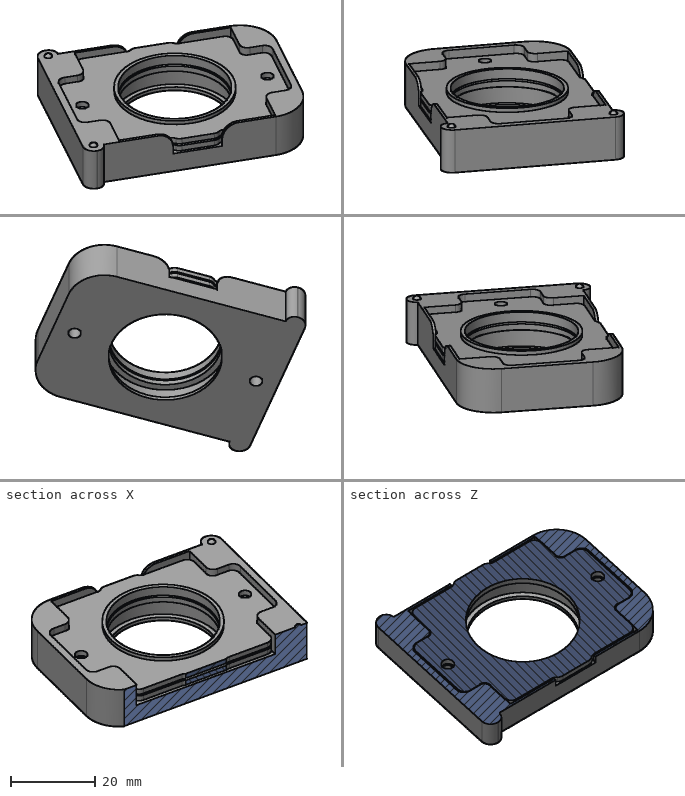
import cadquery as cq
import math

LENGTH = 56.45
BODY_WIDTH = 40.2
OVERALL_WIDTH = 44.6
KNUCKLE_LENGTH = 5.0
KNUCKLE_FRONT_DIAMETER = 5.5
REAR_CORNER_RADIUS = 9.0
FRONT_HEIGHT = 10.8
REAR_HEIGHT = 11.0

DOME_RADIUS = 0.95
DOME_X = 19.75
DOME_FRONT_INSET = 2.6
DOME_TOP = 11.45

FLOOR_Z = 5.0
PLATE_GAP = 0.5
PLATE_THICKNESS = 1.45
LOWER_PLATE_Z = FLOOR_Z + PLATE_GAP
UPPER_PLATE_Z = LOWER_PLATE_Z + PLATE_THICKNESS + PLATE_GAP
RING_HEIGHT = 1.0

POCKET_HALF_WIDTH = 19.35
SHOULDER_Y = 19.25
TAB_HALF_WIDTH = 9.95
POCKET_TAB_Y = 26.35
PLATE_CLEARANCE = 0.2
PLATE_HALF_WIDTH = POCKET_HALF_WIDTH - PLATE_CLEARANCE
PLATE_TAB_Y = POCKET_TAB_Y - PLATE_CLEARANCE
POCKET_FILLET = 2.0
PLATE_FILLET = POCKET_FILLET
PLATE_INNER_FILLET = 1.65
EAR_MID_Y = 5.3
EAR_FILLET = POCKET_FILLET

NOTCH_HALF_WIDTH = 6.05
NOTCH_ARC_Z = LOWER_PLATE_Z + PLATE_THICKNESS

APERTURE_DIAMETER = 26.9
RING_DIAMETER = 28.9
WELL_DIAMETER = 29.4
LEDGE_THICKNESS = 1.0
BOLT_DIAMETER = 3.0
BOLT_Y = 22.8

MARGIN = 0.05

HALF_LENGTH = LENGTH / 2
HALF_BODY_WIDTH = BODY_WIDTH / 2
KNUCKLE_FRONT_RADIUS = KNUCKLE_FRONT_DIAMETER / 2
KNUCKLE_REAR_RADIUS = OVERALL_WIDTH / 2 - HALF_BODY_WIDTH
BOLT_POINTS = [(0, BOLT_Y), (0, -BOLT_Y)]


def cylinder(diameter, bottom, height):
    """Upright cylinder on the aperture axis."""
    return cq.Workplane("XY").workplane(offset=bottom).circle(diameter / 2).extrude(height)


def bolt_cutters():
    """Two upright cylinders that clear every body at the bolt positions."""
    return cq.Workplane("XY").pushPoints(BOLT_POINTS).circle(BOLT_DIAMETER / 2).extrude(REAR_HEIGHT)


def cross_prism(half_width, tab_y, outer_fillet, inner_fillet, bottom, height):
    """Rectangle with a tab at each Y end; the tab's outer and inner corners are rounded."""
    shoulders = (
        cq.Workplane("XY").workplane(offset=bottom)
        .rect(2 * half_width, 2 * SHOULDER_Y).extrude(height)
    )
    tabs = (
        cq.Workplane("XY").workplane(offset=bottom)
        .rect(2 * TAB_HALF_WIDTH, 2 * tab_y).extrude(height)
        .edges("|Z").fillet(outer_fillet)
    )
    inner_corners = cq.selectors.BoxSelector(
        (-TAB_HALF_WIDTH - MARGIN, -SHOULDER_Y - MARGIN, bottom - MARGIN),
        (TAB_HALF_WIDTH + MARGIN, SHOULDER_Y + MARGIN, bottom + height + MARGIN),
    )
    return shoulders.union(tabs).edges("|Z").edges(inner_corners).fillet(inner_fillet)


def notch_cutter():
    """Opening through both side walls: straight at the bottom, flaring to the top in two arcs."""
    front_radius = FRONT_HEIGHT - NOTCH_ARC_Z
    rear_radius = REAR_HEIGHT - NOTCH_ARC_Z
    front_centre_y = -NOTCH_HALF_WIDTH - front_radius
    rear_centre_y = NOTCH_HALF_WIDTH + rear_radius
    diagonal = math.sqrt(0.5)
    return (
        cq.Workplane("YZ")
        .moveTo(-NOTCH_HALF_WIDTH, FLOOR_Z)
        .lineTo(NOTCH_HALF_WIDTH, FLOOR_Z)
        .lineTo(NOTCH_HALF_WIDTH, NOTCH_ARC_Z)
        .threePointArc(
            (rear_centre_y - rear_radius * diagonal, NOTCH_ARC_Z + rear_radius * diagonal),
            (rear_centre_y, REAR_HEIGHT),
        )
        .lineTo(front_centre_y, REAR_HEIGHT)
        .lineTo(front_centre_y, FRONT_HEIGHT)
        .threePointArc(
            (front_centre_y + front_radius * diagonal, NOTCH_ARC_Z + front_radius * diagonal),
            (-NOTCH_HALF_WIDTH, NOTCH_ARC_Z),
        )
        .close()
        .extrude(HALF_BODY_WIDTH, both=True)
    )


def housing_block():
    """Outer block: lower front half with knuckles, higher rear half with rounded corners."""
    front_length = HALF_LENGTH - KNUCKLE_FRONT_RADIUS
    front = (
        cq.Workplane("XY")
        .rect(BODY_WIDTH, front_length).extrude(FRONT_HEIGHT)
        .translate((0, -front_length / 2, 0))
    )
    rear = (
        cq.Workplane("XY")
        .rect(BODY_WIDTH, HALF_LENGTH).extrude(REAR_HEIGHT)
        .translate((0, HALF_LENGTH / 2, 0))
        .edges("|Z and >Y").fillet(REAR_CORNER_RADIUS)
    )
    knuckles = (
        cq.Workplane("XY")
        .rect(OVERALL_WIDTH, KNUCKLE_LENGTH).extrude(FRONT_HEIGHT)
        .translate((0, (KNUCKLE_LENGTH - LENGTH) / 2, 0))
        .edges("|Z and <Y").fillet(KNUCKLE_FRONT_RADIUS)
        .edges("|Z and >Y").fillet(KNUCKLE_REAR_RADIUS)
    )
    return front.union(rear).union(knuckles).clean()


def dome(x):
    """Sphere whose cap stands above a knuckle; the rest lies inside the housing."""
    rise = DOME_TOP - FRONT_HEIGHT
    sphere_radius = (DOME_RADIUS ** 2 + rise ** 2) / (2 * rise)
    centre = (x, DOME_FRONT_INSET - HALF_LENGTH, DOME_TOP - sphere_radius)
    return cq.Workplane("XY").sphere(sphere_radius).translate(centre)


def make_housing():
    """Block with domes, pocket, side notches, stepped aperture and bolt holes."""
    pocket = cross_prism(
        POCKET_HALF_WIDTH, POCKET_TAB_Y, POCKET_FILLET, POCKET_FILLET,
        FLOOR_Z, REAR_HEIGHT - FLOOR_Z,
    )
    body = housing_block()
    for x in (-DOME_X, DOME_X):
        body = body.union(dome(x))
    return (
        body.cut(pocket)
        .cut(notch_cutter())
        .cut(cylinder(APERTURE_DIAMETER, 0, FLOOR_Z))
        .cut(cylinder(WELL_DIAMETER, LEDGE_THICKNESS, FLOOR_Z - LEDGE_THICKNESS))
        .cut(bolt_cutters())
    )


def ear_prism(bottom):
    """Strip across the plate whose ends swell out to the housing's sides in S-shaped curves."""
    half_step = (HALF_BODY_WIDTH - PLATE_HALF_WIDTH) / 2
    half_run = math.sqrt(EAR_FILLET ** 2 - (EAR_FILLET - half_step) ** 2)
    mid_x = PLATE_HALF_WIDTH + half_step
    root_y = EAR_MID_Y + half_run
    crest_y = EAR_MID_Y - half_run
    quadrant = (
        cq.Workplane("XY").workplane(offset=bottom)
        .lineTo(HALF_BODY_WIDTH, 0)
        .lineTo(HALF_BODY_WIDTH, crest_y)
        .radiusArc((mid_x, EAR_MID_Y), -EAR_FILLET)
        .radiusArc((PLATE_HALF_WIDTH, root_y), EAR_FILLET)
        .lineTo(0, root_y)
        .close()
        .extrude(PLATE_THICKNESS)
    )
    half = quadrant.union(quadrant.mirror("XZ"))
    return half.union(half.mirror("YZ"))


def make_plate(bottom):
    """Cross-shaped plate with side ears, the aperture and the bolt holes."""
    plate = cross_prism(
        PLATE_HALF_WIDTH, PLATE_TAB_Y, PLATE_FILLET, PLATE_INNER_FILLET,
        bottom, PLATE_THICKNESS,
    )
    plate = plate.edges("|Z and (<X or >X)").fillet(PLATE_FILLET)
    return (
        plate.union(ear_prism(bottom))
        .cut(cylinder(APERTURE_DIAMETER, bottom, PLATE_THICKNESS))
        .cut(bolt_cutters())
    )


def make_ringed_plate(bottom):
    """Plate with a raised ring around its aperture."""
    top = bottom + PLATE_THICKNESS
    ring = cylinder(RING_DIAMETER, top, RING_HEIGHT).cut(cylinder(APERTURE_DIAMETER, top, RING_HEIGHT))
    return make_plate(bottom).union(ring)


housing = make_housing()
lower_plate = make_plate(LOWER_PLATE_Z)
upper_plate = make_ringed_plate(UPPER_PLATE_Z)

bodies = [housing, lower_plate, upper_plate]

result = cq.Compound.makeCompound([body.solids().val() for body in bodies])